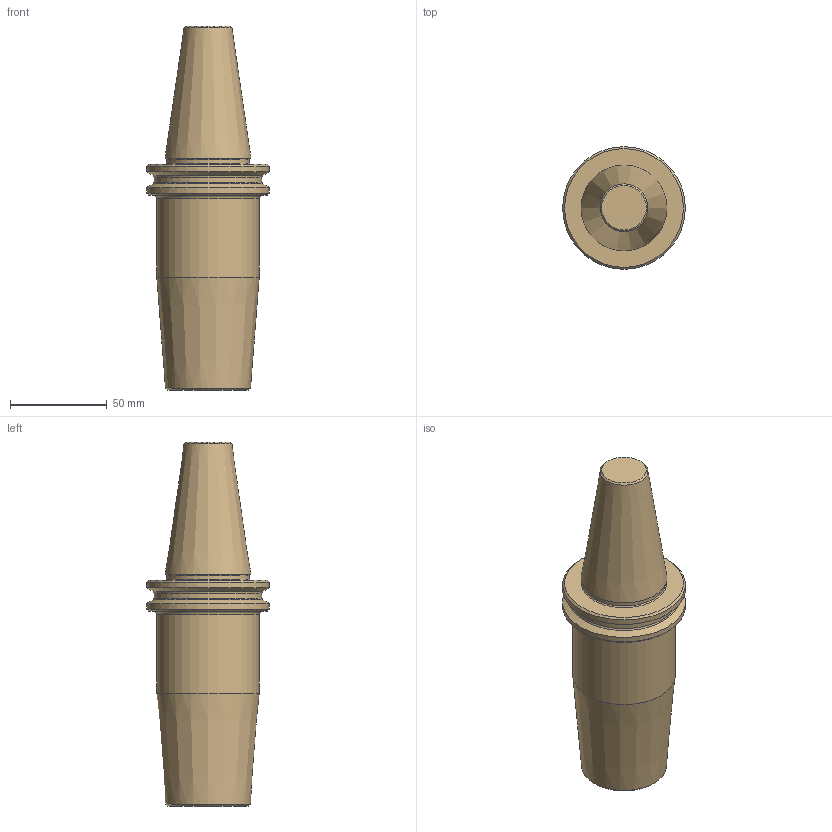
import cadquery as cq
import math


gauge_diameter = 44.45
shank_length = 68.4
taper_ratio = 7 / 24
shank_chamfer = 0.8

neck_diameter = 43.0
neck_chamfer_height = 0.5
neck_fillet = 0.6

flange_diameter = 63.5
flange_top = -3.2
flange_bottom = -19.1
flange_chamfer = 1.0
groove_center = -11.1
groove_floor_width = 3.75
groove_floor_diameter = 55.8
groove_corner_fillet = 1.0
groove_flank_angle = 30

body_diameter = 53.0
body_fillet = 1.8
nose_diameter = 43.8
nose_end = -120.0
nose_angle = 4.5
nose_chamfer = 0.8

gauge_radius = gauge_diameter / 2
neck_radius = neck_diameter / 2
flange_radius = flange_diameter / 2
groove_floor_radius = groove_floor_diameter / 2
body_radius = body_diameter / 2
nose_radius = nose_diameter / 2


def shank_radius(height):
    """Radius of the taper shank at a height above the gauge plane."""
    return gauge_radius - height * taper_ratio / 2


def nose_cone_radius(height):
    """Radius of the nose cone at a given height."""
    return nose_radius + (height - nose_end) * math.tan(math.radians(nose_angle))


groove_flank_drop = (flange_radius - groove_floor_radius) * math.tan(math.radians(groove_flank_angle))
groove_floor_half = groove_floor_width / 2
groove_mouth_half = groove_floor_half + groove_flank_drop
groove_corner_turn = math.radians(90 - groove_flank_angle)
groove_corner_trim = groove_corner_fillet * math.tan(groove_corner_turn / 2)
groove_arc_floor_half = groove_floor_half - groove_corner_trim
groove_arc_flank_half = groove_floor_half + groove_corner_trim * math.cos(groove_corner_turn)
groove_arc_flank_radius = groove_floor_radius + groove_corner_trim * math.sin(groove_corner_turn)

nose_start = nose_end + (body_radius - nose_radius) / math.tan(math.radians(nose_angle))
shank_chamfer_start = shank_length - shank_chamfer
nose_chamfer_start = nose_end + nose_chamfer


def half_profile():
    """Closed outline of one side of the holder, from the shank tip down to the nose."""
    return (
        cq.Workplane("XZ")
        .moveTo(0, shank_length)
        .lineTo(shank_radius(shank_chamfer_start) - shank_chamfer, shank_length)
        .lineTo(shank_radius(shank_chamfer_start), shank_chamfer_start)
        .lineTo(gauge_radius, 0)
        .lineTo(neck_radius, -neck_chamfer_height)
        .lineTo(neck_radius, flange_top + neck_fillet)
        .radiusArc((neck_radius + neck_fillet, flange_top), -neck_fillet)
        .lineTo(flange_radius - flange_chamfer, flange_top)
        .lineTo(flange_radius, flange_top - flange_chamfer)
        .lineTo(flange_radius, groove_center + groove_mouth_half)
        .lineTo(groove_arc_flank_radius, groove_center + groove_arc_flank_half)
        .radiusArc((groove_floor_radius, groove_center + groove_arc_floor_half), -groove_corner_fillet)
        .lineTo(groove_floor_radius, groove_center - groove_arc_floor_half)
        .radiusArc((groove_arc_flank_radius, groove_center - groove_arc_flank_half), -groove_corner_fillet)
        .lineTo(flange_radius, groove_center - groove_mouth_half)
        .lineTo(flange_radius, flange_bottom + flange_chamfer)
        .lineTo(flange_radius - flange_chamfer, flange_bottom)
        .lineTo(body_radius + body_fillet, flange_bottom)
        .radiusArc((body_radius, flange_bottom - body_fillet), -body_fillet)
        .lineTo(body_radius, nose_start)
        .lineTo(nose_cone_radius(nose_chamfer_start), nose_chamfer_start)
        .lineTo(nose_radius - nose_chamfer, nose_end)
        .lineTo(0, nose_end)
        .close()
    )


result = half_profile().revolve(360, (0, 0, 0), (0, 1, 0))